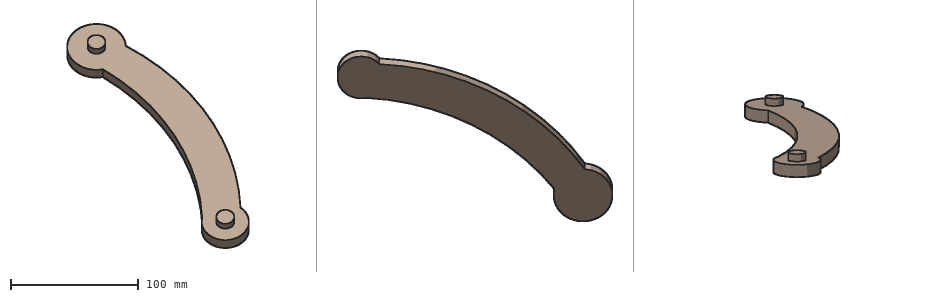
import cadquery as cq
import math

plate_thickness = 10.0
pin_radius = 7.0
pin_height = 6.0

large_radius = 23.0
large_centre = (0.0, 0.0)

small_radius = 18.5
small_centre = (186.56, -77.9)

arm_root_width = 29.6
outer_arc_radius = 204.2
inner_arc_radius = 196.6
outer_end_angle = 87.0
inner_end_angle = 204.0


def point_on_small_disc(angle_degrees):
    """Point on the rim of the small disc, measured counterclockwise from +X."""
    angle = math.radians(angle_degrees)
    return (
        small_centre[0] + small_radius * math.cos(angle),
        small_centre[1] + small_radius * math.sin(angle),
    )


def arc_midpoint(start, end, radius):
    """Middle of the shallow arc from start to end that bulges up and to the right."""
    dx = end[0] - start[0]
    dy = end[1] - start[1]
    chord = math.hypot(dx, dy)
    bulge = radius - math.sqrt(radius**2 - (chord / 2) ** 2)
    return (
        (start[0] + end[0]) / 2 - dy / chord * bulge,
        (start[1] + end[1]) / 2 + dx / chord * bulge,
    )


def make_disc(centre, radius):
    return cq.Workplane("XY").center(*centre).circle(radius).extrude(plate_thickness)


def make_pin(centre):
    """Pin that rises from the underside of the plate to above its top face."""
    return cq.Workplane("XY").center(*centre).circle(pin_radius).extrude(plate_thickness + pin_height)


def make_arm():
    """Curved arm whose four corners lie on the rims of the end discs."""
    root_y = arm_root_width / 2
    root_x = math.sqrt(large_radius**2 - root_y**2)
    outer_start = (root_x, root_y)
    inner_start = (root_x, -root_y)
    outer_end = point_on_small_disc(outer_end_angle)
    inner_end = point_on_small_disc(inner_end_angle)
    return (
        cq.Workplane("XY")
        .moveTo(*outer_start)
        .threePointArc(arc_midpoint(outer_start, outer_end, outer_arc_radius), outer_end)
        .lineTo(*inner_end)
        .threePointArc(arc_midpoint(inner_start, inner_end, inner_arc_radius), inner_start)
        .close()
        .extrude(plate_thickness)
    )


result = (
    make_arm()
    .union(make_disc(large_centre, large_radius))
    .union(make_disc(small_centre, small_radius))
    .union(make_pin(large_centre))
    .union(make_pin(small_centre))
)